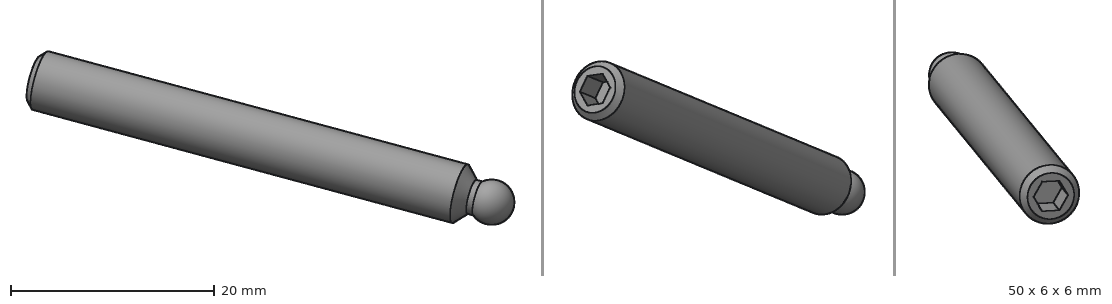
import cadquery as cq
import math

total_length = 50.0
shank_diameter = 6.0

ball_diameter = 4.5
neck_diameter = 3.5
shank_length = 44.45

end_chamfer = 0.65
socket_across_flats = 3.0
socket_depth = 3.0

shank_radius = shank_diameter / 2
neck_radius = neck_diameter / 2
ball_radius = ball_diameter / 2
ball_center_x = total_length - ball_radius

neck_start_x = shank_length + shank_radius - neck_radius
neck_end_x = ball_center_x - math.sqrt(ball_radius**2 - neck_radius**2)
ball_crest = (ball_center_x, ball_radius)


def make_body():
    """Revolve the chamfered shank, shoulder, neck and ball about the X axis."""
    profile = (
        cq.Workplane("XY")
        .moveTo(0, 0)
        .lineTo(0, shank_radius - end_chamfer)
        .lineTo(end_chamfer, shank_radius)
        .lineTo(shank_length, shank_radius)
        .lineTo(neck_start_x, neck_radius)
        .lineTo(neck_end_x, neck_radius)
        .threePointArc(ball_crest, (total_length, 0))
        .close()
    )
    return profile.revolve(360, (0, 0, 0), (1, 0, 0))


def make_socket():
    """Hexagonal key socket with two corners on the Y axis and flats facing Z."""
    across_corners = socket_across_flats / math.cos(math.pi / 6)
    return cq.Workplane("YZ").polygon(6, across_corners).extrude(socket_depth)


result = make_body().cut(make_socket())